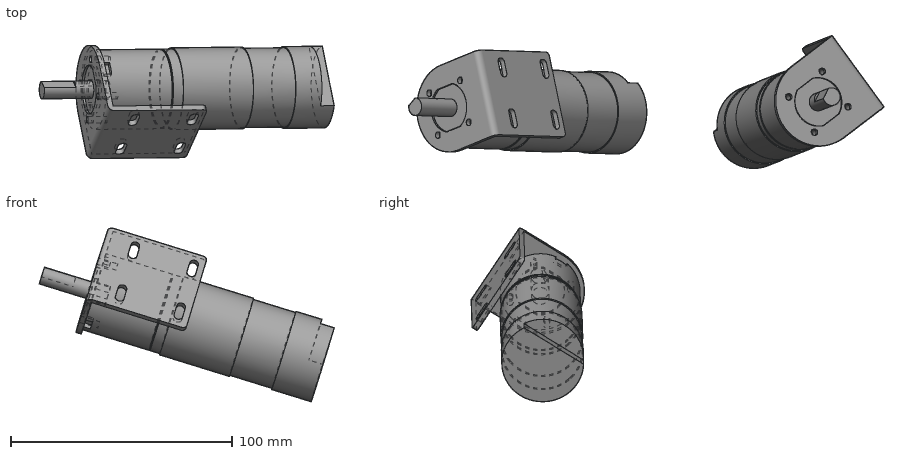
import cadquery as cq


ROLL = -32.8
YAW = 0.6
PITCH = 17.2

BRACKET_WIDTH = 40.0
SHEET = 2.5
FLANGE_OFFSET = 24.3
FLANGE_END = 46.7
BEND_INNER_RADIUS = 0.3
CORNER_RADIUS = 2.0
SLOT_LENGTH = 9.0
SLOT_WIDTH = 4.0
SLOT_FIRST = 14.0
SLOT_PITCH_ALONG = 27.8
SLOT_PITCH_ACROSS = 24.0
MOUNT_CIRCLE_DIAMETER = 28.0
MOUNT_HOLE_COUNT = 4
MOUNT_HOLE_ANGLE = 45
MOUNT_HOLE_DIAMETER = 3.0
MOUNT_HOLE_DEPTH = 9.0

GEARBOX_RADIUS = 18.0
MOTOR_RADIUS = 18.5
GROOVE_START = 33.9
GROOVE_WIDTH = 0.5
GROOVE_DEPTH = 0.4
MOTOR_START = 39.1
WAIST_START = 72.2
CAP_START = 92.2
HOUSING_END = 110.9
BOSS_DIAMETER = 22.0
BOSS_FLATS = 20.0
BOSS_RECESS = 1.1
CAP_STEP_START = 104.5
CAP_STEP_HEIGHT = 9.3
WINDOW_LENGTH = 3.2
WINDOW_WIDTH = 6.0
WINDOW_DEPTH = 2.4

SHAFT_RADIUS = 4.0
SHAFT_REACH = 22.3
SHAFT_SEAT = 9.0
FLAT_LENGTH = 15.0
FLAT_HEIGHT = 3.0
FLAT_TURN = -25.0


def rod(radius, start, end):
    """Cylinder on the motor axis between two stations."""
    return cq.Workplane("YZ", origin=(start, 0, 0)).circle(radius).extrude(end - start)


def block(start, end, low_y, high_y, low_z, high_z):
    """Axis-aligned box given by its limits."""
    size = (end - start, high_y - low_y, high_z - low_z)
    return cq.Workplane("XY").box(*size, centered=False).translate((start, low_y, low_z))


def boss_shape(start, end):
    """Disc with two flats that locates the gearbox in the plate."""
    flats = block(start, end, -BOSS_DIAMETER, BOSS_DIAMETER, -BOSS_FLATS / 2, BOSS_FLATS / 2)
    return rod(BOSS_DIAMETER / 2, start, end).intersect(flats)


def mount_holes():
    """Four screw holes on a circle, halfway between the Y and Z directions."""
    return (
        cq.Workplane("YZ")
        .polarArray(MOUNT_CIRCLE_DIAMETER / 2, MOUNT_HOLE_ANGLE, 360, MOUNT_HOLE_COUNT)
        .circle(MOUNT_HOLE_DIAMETER / 2)
        .extrude(MOUNT_HOLE_DEPTH)
    )


def make_bracket():
    half_width = BRACKET_WIDTH / 2

    angle = (
        cq.Workplane("XY", origin=(0, 0, -half_width))
        .moveTo(0, half_width)
        .lineTo(0, -FLANGE_OFFSET)
        .lineTo(FLANGE_END, -FLANGE_OFFSET)
        .lineTo(FLANGE_END, SHEET - FLANGE_OFFSET)
        .lineTo(SHEET, SHEET - FLANGE_OFFSET)
        .lineTo(SHEET, half_width)
        .close()
        .extrude(BRACKET_WIDTH)
    )

    outer_corner = cq.NearestToPointSelector((0, -FLANGE_OFFSET, 0))
    inner_corner = cq.NearestToPointSelector((SHEET, SHEET - FLANGE_OFFSET, 0))
    angle = angle.edges(outer_corner).fillet(SHEET + BEND_INNER_RADIUS)
    angle = angle.edges(inner_corner).fillet(BEND_INNER_RADIUS)
    angle = angle.edges("|Y and >X").fillet(CORNER_RADIUS)

    outline = rod(half_width, 0, FLANGE_END).union(
        block(0, FLANGE_END, -FLANGE_OFFSET, 0, -half_width, half_width)
    )
    angle = angle.intersect(outline)

    slots = (
        cq.Workplane("XZ", origin=(SLOT_FIRST + SLOT_PITCH_ALONG / 2, 0, 0))
        .rarray(SLOT_PITCH_ALONG, SLOT_PITCH_ACROSS, 2, 2)
        .slot2D(SLOT_LENGTH, SLOT_WIDTH, 90)
        .extrude(FLANGE_OFFSET)
    )
    return angle.cut(slots).cut(boss_shape(0, SHEET)).cut(mount_holes())


def make_housing():
    housing = rod(GEARBOX_RADIUS, SHEET, MOTOR_START)
    housing = housing.union(rod(MOTOR_RADIUS, MOTOR_START, WAIST_START))
    housing = housing.union(rod(GEARBOX_RADIUS, WAIST_START, CAP_START))
    housing = housing.union(rod(MOTOR_RADIUS, CAP_START, HOUSING_END))
    housing = housing.union(boss_shape(BOSS_RECESS, SHEET))

    groove_end = GROOVE_START + GROOVE_WIDTH
    groove = rod(MOTOR_RADIUS, GROOVE_START, groove_end).cut(
        rod(GEARBOX_RADIUS - GROOVE_DEPTH, GROOVE_START, groove_end)
    )
    cap_step = block(
        CAP_STEP_START, HOUSING_END, -MOTOR_RADIUS, MOTOR_RADIUS, CAP_STEP_HEIGHT, MOTOR_RADIUS
    )
    housing = housing.cut(groove).cut(cap_step)

    window = block(
        SHEET, SHEET + WINDOW_LENGTH, -WINDOW_WIDTH / 2, WINDOW_WIDTH / 2,
        GEARBOX_RADIUS - WINDOW_DEPTH, MOTOR_RADIUS,
    )
    housing = housing.cut(window).cut(window.mirror("XY"))

    return housing.cut(mount_holes()).cut(rod(SHAFT_RADIUS, BOSS_RECESS, SHAFT_SEAT))


def make_shaft():
    flat = block(
        -SHAFT_REACH, FLAT_LENGTH - SHAFT_REACH, -SHAFT_RADIUS, SHAFT_RADIUS, FLAT_HEIGHT, SHAFT_RADIUS
    )
    flat = flat.rotate((0, 0, 0), (1, 0, 0), FLAT_TURN)
    return rod(SHAFT_RADIUS, -SHAFT_REACH, SHAFT_SEAT).cut(flat)


def place(body):
    """Turn a body from the local frame into its final attitude and select its solid."""
    body = body.rotate((0, 0, 0), (1, 0, 0), ROLL)
    body = body.rotate((0, 0, 0), (0, 0, 1), YAW)
    return body.rotate((0, 0, 0), (0, 1, 0), PITCH).solids()


bracket = place(make_bracket())
housing = place(make_housing())
shaft = place(make_shaft())

result = cq.Compound.makeCompound([bracket.val(), housing.val(), shaft.val()])